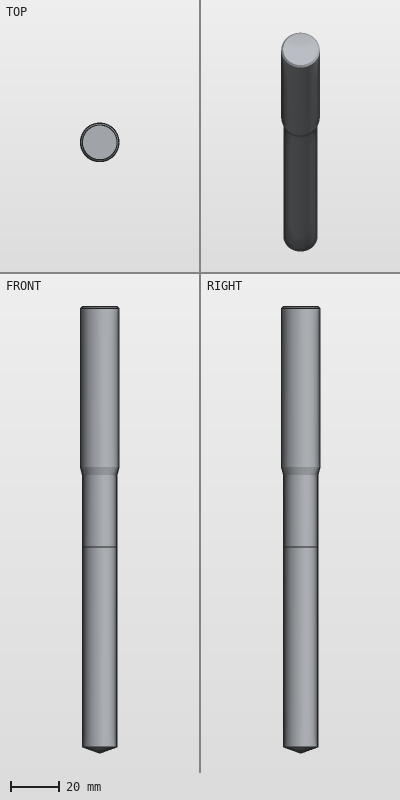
import cadquery as cq
import math

overall_length = 185.0
joint_height = 85.5
shank_start = 118.4

shank_diameter = 16.0
cutting_diameter = 14.25

point_angle = 140.0
taper_angle = 15.0
chamfer = 0.8

shank_radius = shank_diameter / 2
cutting_radius = cutting_diameter / 2
point_height = cutting_radius / math.tan(math.radians(point_angle / 2))
taper_length = (shank_radius - cutting_radius) / math.tan(math.radians(taper_angle))


def turned(profile):
    """Revolve a closed half profile of (radius, height) points about the Z axis."""
    return cq.Workplane("XZ").polyline(profile).close().revolve(360, (0, 0), (0, 1))


def make_cutting_part():
    """Plain cylindrical cutting part with a conical drill point."""
    return turned([
        (0, 0),
        (cutting_radius, point_height),
        (cutting_radius, joint_height),
        (0, joint_height),
    ])


def make_shank():
    """Neck, taper and clamping shank with a chamfered end."""
    return turned([
        (0, joint_height),
        (cutting_radius, joint_height),
        (cutting_radius, shank_start - taper_length),
        (shank_radius, shank_start),
        (shank_radius, overall_length - chamfer),
        (shank_radius - chamfer, overall_length),
        (0, overall_length),
    ])


cutting_part = make_cutting_part()
shank = make_shank()

result = cq.Compound.makeCompound([cutting_part.val(), shank.val()])